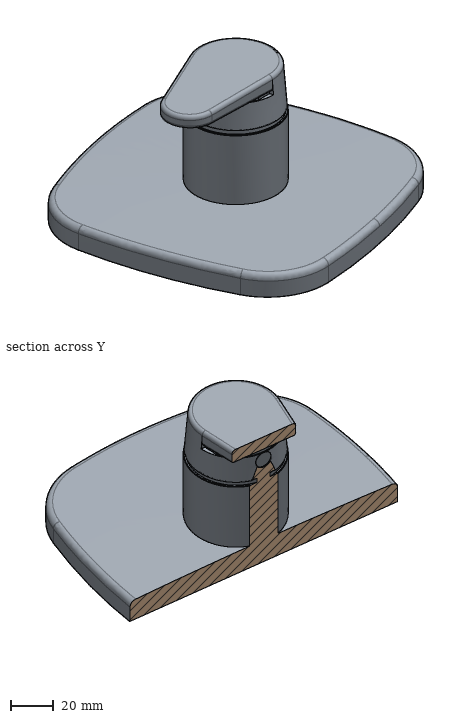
import cadquery as cq
import math

plate_size = 154.0
arc_end = 43.5
side_bulge = 3.2
plate_top = 13.9
dome_radius = 2156.1
plate_fillet = 3.4

body_radius = 24.6
body_top = 51.1
body_chamfer = 0.3
groove_radius = 23.5
cap_bottom = 53.5
cap_bottom_radius = 24.2
shelf_height = 67.5
head_radius = 22.5
total_height = 77.5

tip_radius = 13.7
tip_center_y = -44.7
lever_root_bottom = 69.0
lever_tip_bottom = 70.8
lever_top_fillet = 2.2
lever_bottom_fillet = 1.5
tip_end = tip_center_y - tip_radius
lever_taper = math.asin((head_radius - tip_radius) / -tip_center_y)
head_y = -head_radius * math.sin(lever_taper)

button_radius = 4.3
button_height = shelf_height - button_radius
button_face_y = -22.8


def make_plate():
    side = plate_size / 2
    end = side - side_bulge
    end_angle = 2 * math.atan(side_bulge / arc_end)
    corner_radius = (end - arc_end) / (math.cos(end_angle) - math.sin(end_angle))
    corner_center = end - corner_radius * math.cos(end_angle)
    corner = corner_center + corner_radius * math.sqrt(0.5)
    outline = (
        cq.Workplane("XY")
        .moveTo(-arc_end, end)
        .threePointArc((0, side), (arc_end, end))
        .threePointArc((corner, corner), (end, arc_end))
        .threePointArc((side, 0), (end, -arc_end))
        .threePointArc((corner, -corner), (arc_end, -end))
        .threePointArc((0, -side), (-arc_end, -end))
        .threePointArc((-corner, -corner), (-end, -arc_end))
        .threePointArc((-side, 0), (-end, arc_end))
        .threePointArc((-corner, corner), (-arc_end, end))
        .close()
    )
    dome = cq.Workplane("XY").sphere(dome_radius).translate((0, 0, plate_top - dome_radius))
    plate = outline.extrude(plate_top).intersect(dome)
    return plate.faces(">Z").edges().fillet(plate_fillet)


def make_body():
    """Revolved body and cap; the lever side of the cap stops at the shelf."""
    cone_top = total_height - lever_top_fillet
    body = (
        cq.Workplane("XZ")
        .moveTo(0, 0)
        .lineTo(body_radius, 0)
        .lineTo(body_radius, body_top - body_chamfer)
        .lineTo(body_radius - body_chamfer, body_top)
        .lineTo(groove_radius, body_top)
        .lineTo(groove_radius, cap_bottom)
        .lineTo(cap_bottom_radius, cap_bottom)
        .lineTo(head_radius, cone_top)
        .lineTo(0, cone_top)
        .close()
        .revolve(360, (0, 0, 0), (0, 1, 0))
    )
    lever_side = (
        cq.Workplane("XY", origin=(0, head_y - body_radius / 2, shelf_height))
        .rect(2 * body_radius, body_radius)
        .extrude(total_height - shelf_height)
    )
    return body.cut(lever_side)


def lever_outline():
    """Head and tip circles joined by their tangent lines."""
    head_x = head_radius * math.cos(lever_taper)
    tip_x = tip_radius * math.cos(lever_taper)
    tip_y = tip_center_y - tip_radius * math.sin(lever_taper)
    return (
        cq.Workplane("XY", origin=(0, 0, shelf_height))
        .moveTo(head_x, head_y)
        .threePointArc((0, head_radius), (-head_x, head_y))
        .lineTo(-tip_x, tip_y)
        .threePointArc((0, tip_end), (tip_x, tip_y))
        .close()
    )


def make_lever():
    """Rounded lever with an underside that rises towards the tip."""
    side_profile = (
        cq.Workplane("YZ")
        .moveTo(head_radius, lever_root_bottom)
        .lineTo(head_y, lever_root_bottom)
        .lineTo(tip_end, lever_tip_bottom)
        .lineTo(tip_end, total_height)
        .lineTo(head_radius, total_height)
        .close()
        .extrude(head_radius, both=True)
    )
    lever = lever_outline().extrude(total_height - shelf_height).intersect(side_profile)
    lever = lever.faces(">Z").edges().fillet(lever_top_fillet)
    rim_height = (total_height + lever_tip_bottom) / 2
    rim_margin = 1.5
    rim = cq.selectors.BoxSelector(
        (-body_radius, tip_end - rim_margin, shelf_height),
        (body_radius, head_y - rim_margin, rim_height),
    )
    return lever.edges(rim).edges("not |X").fillet(lever_bottom_fillet)


def make_neck():
    """Inset neck between the shelf and the underside of the lever."""
    neck_height = lever_tip_bottom - shelf_height
    inset = lever_outline().offset2D(-lever_bottom_fillet).extrude(neck_height)
    head = cq.Workplane("XY", origin=(0, 0, shelf_height)).circle(head_radius)
    return inset.intersect(head.extrude(neck_height))


def make_button_recess():
    """Shallow flat spot facing -Y."""
    return (
        cq.Workplane("XZ", origin=(0, button_face_y, button_height))
        .circle(button_radius)
        .extrude(body_radius + button_face_y)
    )


lever = make_lever().union(make_neck())
result = make_plate().union(make_body()).union(lever).cut(make_button_recess())